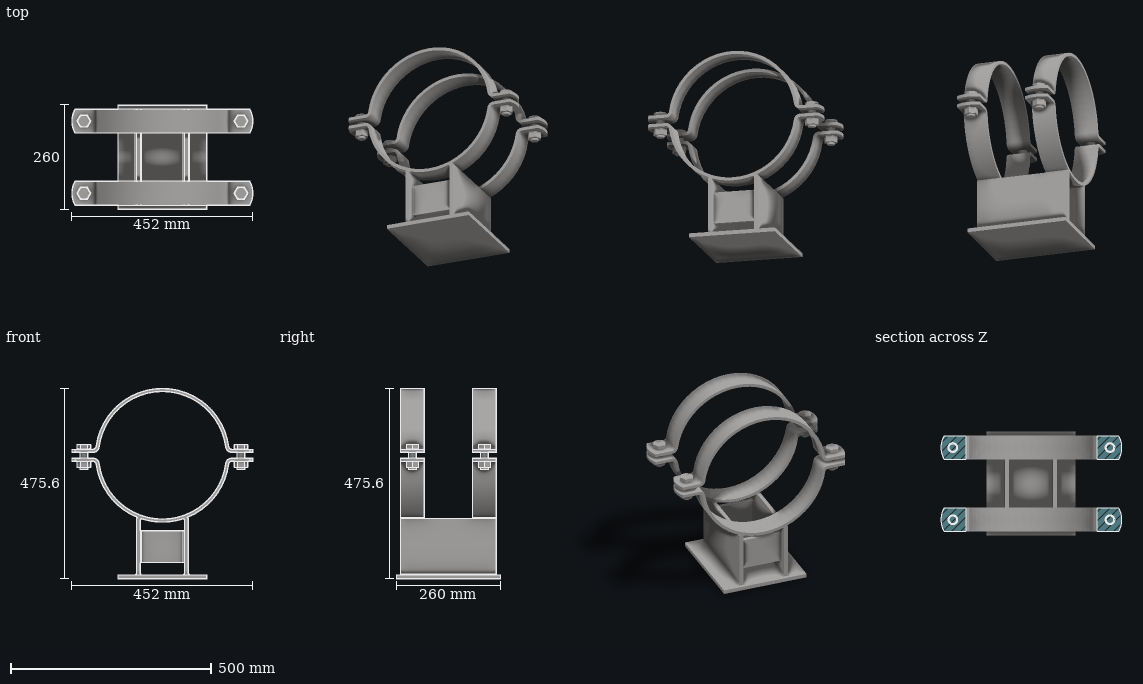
import cadquery as cq
import math

base_width = 222.0
base_length = 260.0
base_thickness = 10.0

upright_spacing = 130.0
upright_thickness = 10.0
upright_length = 240.0
upright_top = 151.5
cross_plate_height = 80.0
cross_plate_inset = 26.0
cross_plate_thickness = 10.0
weld_leg = 3.0

clamp_axis_height = 308.59
clamp_inner_radius = 159.0
strap_thickness = 8.0
strap_width = 60.0
bend_radius = 8.0
ear_gap = 14.0
ear_reach = 226.0
ear_tip_radius = 60.0

bolt_offset = 196.0
bolt_diameter = 20.0
bolt_hole_diameter = 23.0
bolt_end_diameter = 18.65
hex_across_flats = 30.0
hex_chamfer_angle = 30.0
head_height = 12.5
washer_face_diameter = 27.7
washer_face_height = 0.8
nut_height = 16.0
bolt_projection = 5.0

clamp_outer_radius = clamp_inner_radius + strap_thickness
outer_bend_radius = bend_radius + strap_thickness
ear_inner_face = ear_gap / 2
ear_outer_face = ear_inner_face + strap_thickness
upright_outer_x = upright_spacing / 2
upright_inner_x = upright_outer_x - upright_thickness
clamp_center_y = (upright_length - strap_width) / 2


def box(x_range, y_range, z_range):
    """Axis-aligned block between the given pairs of limits."""
    return cq.Workplane("XY").box(
        x_range[1] - x_range[0],
        y_range[1] - y_range[0],
        z_range[1] - z_range[0],
        centered=False,
    ).translate((x_range[0], y_range[0], z_range[0]))


def extrude_along_y(profile, center_y, length):
    """Extrude an XZ profile by length, centred on center_y."""
    return profile.extrude(length / 2, both=True).translate((0, center_y, 0))


def make_half_strap():
    """Upper half of one clamp, its axis along Y through the origin."""
    bend_z = ear_outer_face + bend_radius
    bend_center_distance = clamp_outer_radius + bend_radius
    bend_x = math.sqrt(bend_center_distance**2 - bend_z**2)
    bend_angle = math.atan2(bend_z, bend_x)
    mid_bend_angle = (bend_angle + math.pi / 2) / 2

    def ring_point(radius, side):
        return (side * radius * math.cos(bend_angle), radius * math.sin(bend_angle))

    def bend_middle(radius, side):
        x = bend_x - radius * math.sin(math.pi / 2 - mid_bend_angle)
        return (side * x, bend_z - radius * math.sin(mid_bend_angle))

    profile = (
        cq.Workplane("XZ")
        .moveTo(-ear_reach, ear_outer_face)
        .lineTo(-bend_x, ear_outer_face)
        .threePointArc(bend_middle(bend_radius, -1), ring_point(clamp_outer_radius, -1))
        .threePointArc((0, clamp_outer_radius), ring_point(clamp_outer_radius, 1))
        .threePointArc(bend_middle(bend_radius, 1), (bend_x, ear_outer_face))
        .lineTo(ear_reach, ear_outer_face)
        .lineTo(ear_reach, ear_inner_face)
        .lineTo(bend_x, ear_inner_face)
        .threePointArc(bend_middle(outer_bend_radius, 1), ring_point(clamp_inner_radius, 1))
        .threePointArc((0, clamp_inner_radius), ring_point(clamp_inner_radius, -1))
        .threePointArc(bend_middle(outer_bend_radius, -1), (-bend_x, ear_inner_face))
        .lineTo(-ear_reach, ear_inner_face)
        .close()
    )
    strap = extrude_along_y(profile, 0, strap_width)

    half_width = strap_width / 2
    corner_x = ear_reach - ear_tip_radius + math.sqrt(ear_tip_radius**2 - half_width**2)
    plan = (
        cq.Workplane("XY")
        .moveTo(-corner_x, half_width)
        .lineTo(corner_x, half_width)
        .threePointArc((ear_reach, 0), (corner_x, -half_width))
        .lineTo(-corner_x, -half_width)
        .threePointArc((-ear_reach, 0), (-corner_x, half_width))
        .close()
        .extrude(clamp_outer_radius)
    )
    bolt_holes = (
        cq.Workplane("XY")
        .pushPoints([(-bolt_offset, 0), (bolt_offset, 0)])
        .circle(bolt_hole_diameter / 2)
        .extrude(ear_outer_face)
    )
    return strap.intersect(plan).cut(bolt_holes)


def make_hex(height):
    """Hexagon standing on XY, corners on X, its top corners trimmed by a cone that meets the flats."""
    corner_diameter = hex_across_flats / math.cos(math.pi / 6)
    chamfer_width = (corner_diameter - hex_across_flats) / 2
    chamfer_drop = chamfer_width * math.tan(math.radians(hex_chamfer_angle))
    prism = cq.Workplane("XY").polygon(6, corner_diameter).extrude(height)
    trim = cq.Workplane("XY").circle(corner_diameter / 2).extrude(height)
    trim = trim.faces(">Z").chamfer(chamfer_drop, chamfer_width)
    return prism.intersect(trim)


def make_bolt():
    """Bolt and nut clamping the ears, centred on the gap between them."""
    hex_head = make_hex(head_height - washer_face_height)
    washer_face = cq.Workplane("XY").circle(washer_face_diameter / 2).extrude(washer_face_height)
    head = washer_face.union(hex_head.translate((0, 0, washer_face_height)))
    head = head.translate((0, 0, ear_outer_face))
    nut = make_hex(nut_height).mirror("XY").translate((0, 0, -ear_outer_face))
    shank_bottom = -(ear_outer_face + nut_height + bolt_projection)
    shank = (
        cq.Workplane("XY")
        .workplane(offset=shank_bottom)
        .circle(bolt_diameter / 2)
        .extrude(ear_outer_face - shank_bottom)
        .faces("<Z")
        .chamfer((bolt_diameter - bolt_end_diameter) / 2)
    )
    return head.union(shank).union(nut)


def make_clamp():
    """Two half straps bolted together, axis along Y through the origin."""
    upper = make_half_strap()
    clamp = upper.union(upper.mirror("XY"))
    bolt = make_bolt()
    for x in (-bolt_offset, bolt_offset):
        clamp = clamp.union(bolt.translate((x, 0, 0)))
    return clamp


def make_base_weld(face_x, side):
    """Fillet weld along the foot of an upright; side is +1 or -1 along X."""
    profile = cq.Workplane("XZ").polyline([
        (face_x, base_thickness),
        (face_x + side * weld_leg, base_thickness),
        (face_x, base_thickness + weld_leg),
    ]).close()
    return extrude_along_y(profile, 0, upright_length)


def strap_height(x):
    """Height of the outer clamp surface, below its axis, at the given X."""
    return clamp_axis_height - math.sqrt(clamp_outer_radius**2 - x**2)


def make_strap_weld(center_y):
    """Welds joining the +X upright to the strap resting on it."""
    outer_weld_x = upright_outer_x - weld_leg
    inner_weld_x = upright_inner_x - weld_leg
    profile = cq.Workplane("XZ").polyline([
        (upright_outer_x, upright_top),
        (outer_weld_x, strap_height(outer_weld_x)),
        (inner_weld_x, strap_height(inner_weld_x)),
        (upright_inner_x, strap_height(upright_inner_x) - weld_leg),
        (upright_outer_x, strap_height(upright_inner_x) - weld_leg),
    ]).close()
    return extrude_along_y(profile, center_y, strap_width)


def make_cross_plate():
    """Cross plate at the +Y end, welded to the uprights along both faces."""
    outer_y = upright_length / 2 - cross_plate_inset
    inner_y = outer_y - cross_plate_thickness
    bottom = (base_thickness + upright_top - cross_plate_height) / 2
    plate = box(
        (-upright_inner_x, upright_inner_x),
        (inner_y, outer_y),
        (bottom, bottom + cross_plate_height),
    )
    for face_y, side in ((outer_y, 1), (inner_y, -1)):
        weld = (
            cq.Workplane("XY")
            .workplane(offset=bottom)
            .polyline([
                (upright_inner_x, face_y),
                (upright_inner_x - weld_leg, face_y),
                (upright_inner_x, face_y + side * weld_leg),
            ])
            .close()
            .extrude(cross_plate_height)
        )
        plate = plate.union(weld).union(weld.mirror("YZ"))
    return plate


def make_pedestal():
    """Base plate, uprights, cross plates and their welds."""
    half_length = upright_length / 2
    pedestal = box(
        (-base_width / 2, base_width / 2),
        (-base_length / 2, base_length / 2),
        (0, base_thickness),
    )
    upright = box(
        (upright_inner_x, upright_outer_x),
        (-half_length, half_length),
        (base_thickness, upright_top),
    )
    upright = upright.union(make_base_weld(upright_outer_x, 1))
    upright = upright.union(make_base_weld(upright_inner_x, -1))
    for y in (-clamp_center_y, clamp_center_y):
        upright = upright.union(make_strap_weld(y))
    cross_plate = make_cross_plate()
    for feature, mirror_plane in ((upright, "YZ"), (cross_plate, "XZ")):
        pedestal = pedestal.union(feature).union(feature.mirror(mirror_plane))
    return pedestal


result = make_pedestal()
clamp = make_clamp()
for y in (-clamp_center_y, clamp_center_y):
    result = result.union(clamp.translate((0, y, clamp_axis_height)))